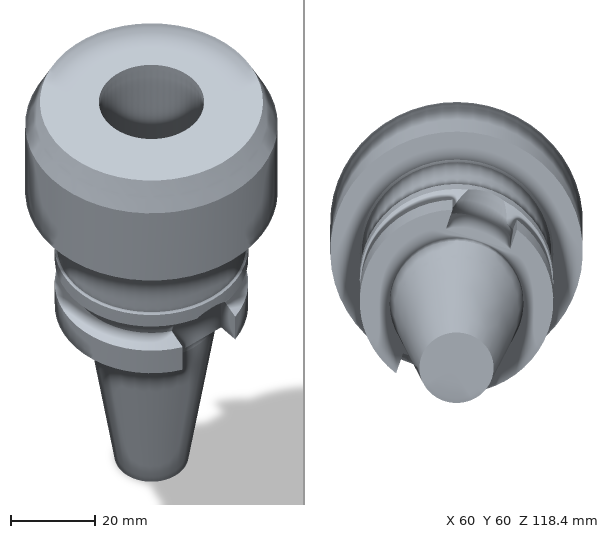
import cadquery as cq
import math

TOP_Z = 70.0

TAPER_LENGTH = 48.4
TAPER_RATIO = 7.0 / 24.0
GAUGE_RADIUS = 31.75 / 2
TAPER_END_RADIUS = GAUGE_RADIUS - TAPER_LENGTH * TAPER_RATIO / 2

FLANGE_RADIUS = 46.0 / 2
FLANGE_BOTTOM_Z = 2.0
FLANGE_TOP_Z = 22.0
GROOVE_RADIUS = 38.4 / 2
GROOVE_CENTER_Z = 13.6
GROOVE_FLOOR_WIDTH = 3.7
GROOVE_WALL_ANGLE = 30.0
GROOVE_WALL_RISE = (FLANGE_RADIUS - GROOVE_RADIUS) * math.tan(math.radians(GROOVE_WALL_ANGLE))
GROOVE_FLOOR_BOTTOM_Z = GROOVE_CENTER_Z - GROOVE_FLOOR_WIDTH / 2
GROOVE_FLOOR_TOP_Z = GROOVE_CENTER_Z + GROOVE_FLOOR_WIDTH / 2

SLOT_WIDTH = 16.1
SLOT_LENGTH = 17.0
SLOT_FLOOR_X = 16.3

BODY_RADIUS = 45.0 / 2
NOSE_RADIUS = 60.0 / 2
NOSE_BOTTOM_Z = 40.0
NOSE_TOP_RADIUS = 53.0 / 2
NOSE_CONE_HEIGHT = 7.5

CHAMFER = 0.5

BORE_RADIUS = 25.0 / 2
BORE_DEPTH = 50.0


def make_turned_body():
    """Revolve the half profile of the holder around Z."""
    profile = [
        (0, -TAPER_LENGTH),
        (TAPER_END_RADIUS, -TAPER_LENGTH),
        (GAUGE_RADIUS, 0),
        (GAUGE_RADIUS, FLANGE_BOTTOM_Z),
        (FLANGE_RADIUS, FLANGE_BOTTOM_Z),
        (FLANGE_RADIUS, GROOVE_FLOOR_BOTTOM_Z - GROOVE_WALL_RISE),
        (GROOVE_RADIUS, GROOVE_FLOOR_BOTTOM_Z),
        (GROOVE_RADIUS, GROOVE_FLOOR_TOP_Z),
        (FLANGE_RADIUS, GROOVE_FLOOR_TOP_Z + GROOVE_WALL_RISE),
        (FLANGE_RADIUS, FLANGE_TOP_Z - CHAMFER),
        (BODY_RADIUS, FLANGE_TOP_Z),
        (BODY_RADIUS, NOSE_BOTTOM_Z - CHAMFER),
        (BODY_RADIUS + CHAMFER, NOSE_BOTTOM_Z),
        (NOSE_RADIUS, NOSE_BOTTOM_Z),
        (NOSE_RADIUS, TOP_Z - NOSE_CONE_HEIGHT),
        (NOSE_TOP_RADIUS, TOP_Z),
        (0, TOP_Z),
    ]
    return cq.Workplane("XZ").polyline(profile).close().revolve(360, (0, 0), (0, 1))


def make_drive_slot():
    """Round-topped cutter for the +X drive slot, open at the flange bottom."""
    half_width = SLOT_WIDTH / 2
    slot_top_z = FLANGE_BOTTOM_Z + SLOT_LENGTH
    arc_start_z = slot_top_z - half_width
    return (
        cq.Workplane("YZ", origin=(SLOT_FLOOR_X, 0, 0))
        .moveTo(-half_width, FLANGE_BOTTOM_Z)
        .lineTo(half_width, FLANGE_BOTTOM_Z)
        .lineTo(half_width, arc_start_z)
        .threePointArc((0, slot_top_z), (-half_width, arc_start_z))
        .close()
        .extrude(FLANGE_RADIUS)
    )


def make_bore():
    """Blind bore cutter, going down from the nose face."""
    return cq.Workplane("XY", origin=(0, 0, TOP_Z)).circle(BORE_RADIUS).extrude(-BORE_DEPTH)


result = make_turned_body().cut(make_bore())
for turn in (0, 180):
    result = result.cut(make_drive_slot().rotate((0, 0, 0), (0, 0, 1), turn))